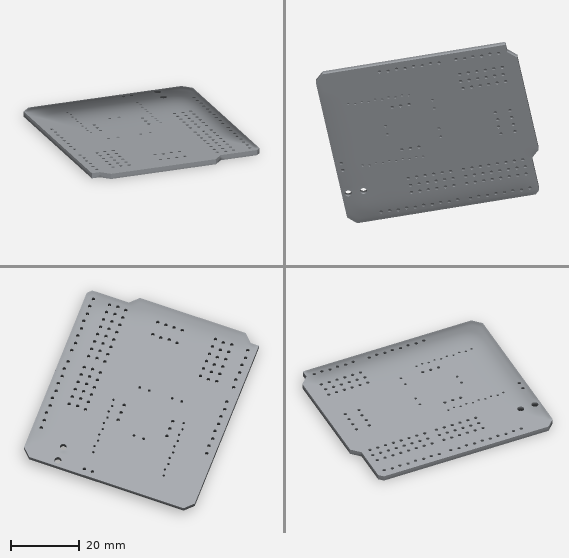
import cadquery as cq


board_length = 59.7
pitch = board_length / 23.5
board_width = 21 * pitch
board_thickness = 1.6
corner_chamfer = pitch
small_chamfer = 1.25
tongue_depth = pitch
tongue_top = 4.5 * pitch
tongue_bottom = -8.5 * pitch

pin_hole = 1.0
component_hole = 0.85
module_hole = 0.7
power_hole = 2.0

stagger = 0.1
module_stagger = 0.2

header_y = 24.25
top_header_x = -7.75 * pitch
bottom_header_x = -4.25 * pitch
left_block_x = -3.75 * pitch
middle_block_x = 2.75 * pitch
right_block_x = 4.75 * pitch
grid_rows = 3
upper_grid_y = 5.5 * pitch
lower_grid_y = -7.5 * pitch

trio_upper_y = 1.5 * pitch
trio_lower_y = -4.5 * pitch

column_pins = 4
column_start_y = -1.5 * pitch
staggered_column_x = 19.95
straight_column_x = 24.25

module_pitch = 2.0
module_pins = 10
module_row_gap = 11 * module_pitch
module_x = -12.9
module_y = -1.5 * pitch

lead_spacing = 3.0
component_centres = [
    (pitch, 0),
    (pitch, -4 * pitch),
    (-5 * pitch, -1.5 * pitch),
]

power_x = -11 * pitch
power_y = 6.25 * pitch
power_spacing = 4.6
power_pin_y = 2 * pitch


def board():
    left = -board_length / 2
    right = board_length / 2
    shoulder = right - tongue_depth
    bottom = -board_width / 2
    top = board_width / 2
    outline = [
        (left, bottom + corner_chamfer),
        (left + corner_chamfer, bottom),
        (shoulder, bottom),
        (shoulder, tongue_bottom - tongue_depth),
        (right, tongue_bottom),
        (right, tongue_top),
        (shoulder, tongue_top + tongue_depth),
        (shoulder, top - small_chamfer),
        (shoulder - small_chamfer, top),
        (left + corner_chamfer, top),
        (left, top - corner_chamfer),
    ]
    return cq.Workplane("XY").polyline(outline).close().extrude(board_thickness)


def row(first_x, y, count, step=pitch, offset=0.0):
    """Holes along +X, shifted in Y by +offset and -offset in turn."""
    return [(first_x + i * step, y + offset * (-1) ** i) for i in range(count)]


def column(x, first_y, count, step=pitch, offset=0.0):
    """Holes along +Y, shifted in X by +offset and -offset in turn."""
    return [(x + offset * (-1) ** i, first_y + i * step) for i in range(count)]


def header_points():
    return (
        row(top_header_x, header_y - stagger, 1)
        + row(top_header_x + pitch, header_y, 9, offset=-stagger)
        + row(middle_block_x, header_y, 8, offset=stagger)
        + row(bottom_header_x, -header_y, 8, offset=-stagger)
        + row(right_block_x, -header_y, 6, offset=-stagger)
    )


def grid_points(first_x, bottom_y, column_count, offset):
    """Block of pin columns; its rows are shifted in X in turn."""
    points = []
    for i in range(column_count):
        points += column(first_x + i * pitch, bottom_y, grid_rows, offset=offset)
    return points


def module_points():
    first_x = module_x - (module_pins - 1) / 2 * module_pitch
    points = []
    for side in (-1, 1):
        y = module_y + side * module_row_gap / 2
        points += row(first_x, y, module_pins, module_pitch, -module_stagger)
    return points


def component_points():
    points = []
    for x, y in component_centres:
        points += column(x, y - lead_spacing / 2, 2, lead_spacing)
    return points


def pin_points():
    return (
        header_points()
        + grid_points(left_block_x, upper_grid_y, 6, -stagger)
        + grid_points(middle_block_x, upper_grid_y, 8, -stagger)
        + grid_points(right_block_x, lower_grid_y, 6, stagger)
        + row(left_block_x, trio_upper_y, 3)
        + row(left_block_x, trio_lower_y, 3)
        + column(staggered_column_x, column_start_y, column_pins, offset=-stagger)
        + column(straight_column_x, column_start_y, column_pins)
        + column(power_x, power_pin_y, 2)
    )


def drills(diameter, points):
    return cq.Workplane("XY").pushPoints(points).circle(diameter / 2).extrude(board_thickness)


result = (
    board()
    .cut(drills(pin_hole, pin_points()))
    .cut(drills(component_hole, component_points()))
    .cut(drills(module_hole, module_points()))
    .cut(drills(power_hole, row(power_x, power_y, 2, power_spacing)))
)